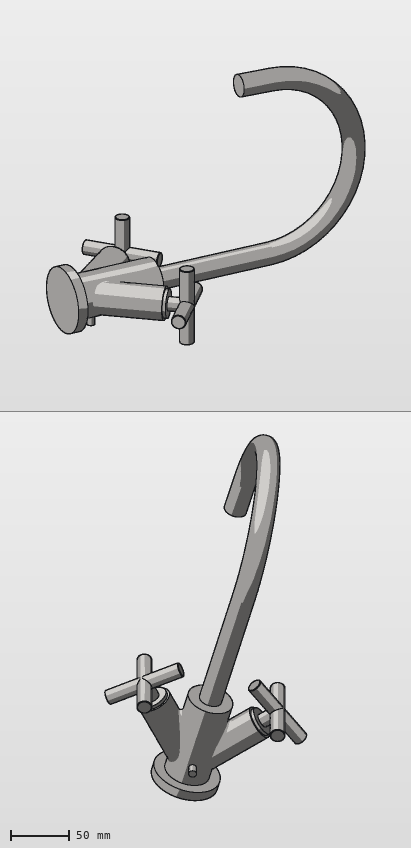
import cadquery as cq
import math


plate_diameter = 59.3
plate_thickness = 9.0

hub_diameter = 40.0
hub_end_y = 88.0
arm_diameter = 30.0
arm_angle = 40.0
arm_root_y = 19.0
arm_length = 73.0
arm_root_fillet = 2.0

cap_diameter = 25.8
cap_height = 3.0

bar_diameter = 13.0
bar_length = 69.9
bar_chamfer = 0.5
stem_diameter = 12.5
cross_distance = 92.2

spout_diameter = 20.0
bend_radius = 82.5
bend_angle = 178.0
faucet_depth = 293.5
bend_start_y = faucet_depth - bend_radius - spout_diameter / 2
outlet_length = 32.3

pin_diameter = 6.8
pin_y = 27.5
pin_bottom_z = -28.8

SIDES = (-1, 1)


def rod(start, direction, diameter, length):
    """A round bar that begins at start and runs along direction."""
    cylinder = cq.Solid.makeCylinder(diameter / 2, length, cq.Vector(*start), cq.Vector(*direction))
    return cq.Workplane(cylinder)


def arm_direction(side):
    """The unit vector along an arm, away from the hub."""
    angle = math.radians(arm_angle)
    return cq.Vector(side * math.sin(angle), math.cos(angle), 0)


def arm_point(side, distance):
    """The point on an arm axis at a distance from the arm root."""
    return (cq.Vector(0, arm_root_y, 0) + arm_direction(side) * distance).toTuple()


def make_plate():
    return rod((0, 0, 0), (0, 1, 0), plate_diameter, plate_thickness)


def make_hub():
    hub = rod((0, plate_thickness, 0), (0, 1, 0), hub_diameter, hub_end_y - plate_thickness)
    for side in SIDES:
        hub = hub.union(rod(arm_point(side, 0), arm_direction(side).toTuple(), arm_diameter, arm_length))
    return hub.edges("%BSPLINE").fillet(arm_root_fillet)


def make_cap(side):
    return rod(arm_point(side, arm_length), arm_direction(side).toTuple(), cap_diameter, cap_height)


def make_bar(center, direction):
    """A handle bar with chamfered ends, centred on a point."""
    start = cq.Vector(*center) - direction * (bar_length / 2)
    bar = rod(start.toTuple(), direction.toTuple(), bar_diameter, bar_length)
    return bar.edges("%CIRCLE").chamfer(bar_chamfer)


def make_handle(side):
    center = arm_point(side, cross_distance)
    up = cq.Vector(0, 0, 1)
    across = arm_direction(side).cross(up)
    stem_start = arm_length + cap_height
    stem_length = cross_distance - stem_start
    stem = rod(arm_point(side, stem_start), arm_direction(side).toTuple(), stem_diameter, stem_length)
    return make_bar(center, up).union(make_bar(center, across)).union(stem)


def make_spout():
    def bend_point(degrees):
        """The Y and Z of the spout axis after a part of the bend."""
        angle = math.radians(degrees)
        y = bend_start_y + bend_radius * math.sin(angle)
        z = bend_radius * (1 - math.cos(angle))
        return y, z

    turn = math.radians(bend_angle)
    bend_end_y, bend_end_z = bend_point(bend_angle)
    outlet = (
        bend_end_y + outlet_length * math.cos(turn),
        bend_end_z + outlet_length * math.sin(turn),
    )
    path = (
        cq.Workplane("YZ")
        .moveTo(hub_end_y, 0)
        .lineTo(bend_start_y, 0)
        .threePointArc(bend_point(bend_angle / 2), (bend_end_y, bend_end_z))
        .lineTo(*outlet)
    )
    profile = cq.Workplane("XZ", origin=(0, hub_end_y, 0)).circle(spout_diameter / 2)
    return profile.sweep(path)


def make_pin(hub):
    """A pin whose upper end is shaped to the round underside of the hub."""
    pin = rod((0, pin_y, pin_bottom_z), (0, 0, 1), pin_diameter, -pin_bottom_z)
    return pin.cut(hub)


plate = make_plate()
hub = make_hub()
spout = make_spout()
pin = make_pin(hub)
caps = [make_cap(side) for side in SIDES]
handles = [make_handle(side) for side in SIDES]

result = cq.Compound.makeCompound(
    [
        plate.val(),
        hub.solids().val(),
        spout.val(),
        pin.solids().val(),
        *[cap.val() for cap in caps],
        *[handle.solids().val() for handle in handles],
    ]
)